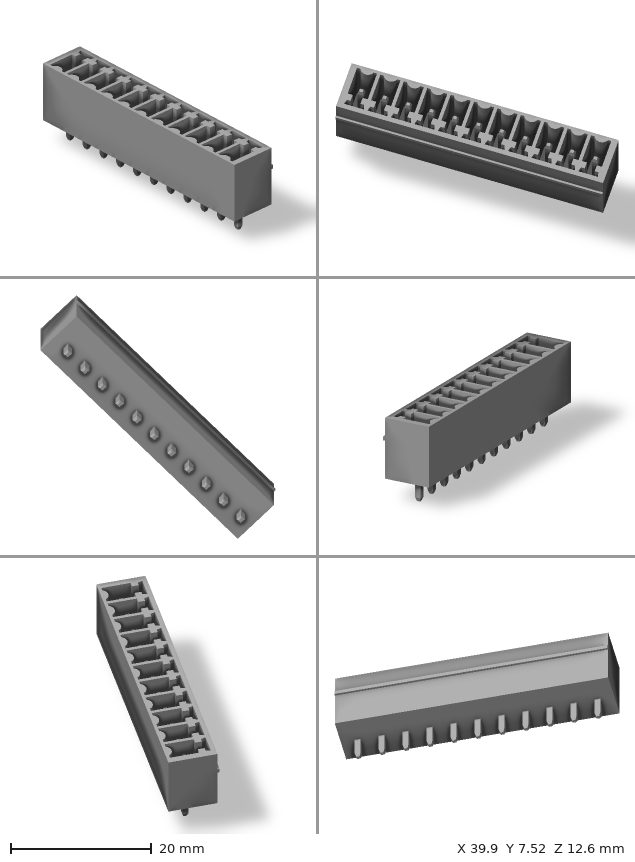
import cadquery as cq

pole_count = 11
body_length = 39.9
body_depth = 7.22
body_height = 9.25

rib_depth = 0.3
rib_height = 0.6
rib_drop = 3.2

floor_thickness = 1.5
cavity_width = 3.0
waist_width = 1.48
flare_width = 2.55
cavity_front = 0.48
waist_front = 4.8
waist_back = 5.8
cavity_back = 6.5
key_radius = 1.1

end_wall = 0.95
end_margin = end_wall + cavity_width / 2
pitch = (body_length - 2 * end_margin) / (pole_count - 1)

pin_width = 0.88
pin_tip_width = 0.48
pin_taper = 0.6
pin_y = 3.05
pin_bottom = -3.35
pin_top = 7.82

pin_positions = [(end_margin + i * pitch, pin_y) for i in range(pole_count)]
cavity_positions = [(x, 0) for x, _ in pin_positions]


def make_body():
    """Plain block with a full-length rib on its back face."""
    block = cq.Workplane("XY").box(body_length, body_depth, body_height, centered=False)
    rib_bottom = body_height - rib_drop - rib_height / 2
    rib = (
        cq.Workplane("XY")
        .box(body_length, rib_depth, rib_height, centered=False)
        .translate((0, body_depth, rib_bottom))
    )
    return block.union(rib)


def make_cavity():
    """Waisted cavity centred on x = 0, with a round key left standing at the front."""
    right_side = [
        (cavity_width / 2, cavity_front),
        (cavity_width / 2, waist_front),
        (waist_width / 2, waist_front),
        (waist_width / 2, waist_back),
        (flare_width / 2, waist_back),
        (cavity_width / 2, cavity_back),
    ]
    left_side = [(-x, y) for x, y in reversed(right_side)]
    cavity_depth = body_height - floor_thickness
    floor = cq.Workplane("XY").workplane(offset=floor_thickness)
    pocket = floor.polyline(right_side + left_side).close().extrude(cavity_depth)
    key = floor.circle(key_radius).extrude(cavity_depth)
    return pocket.cut(key)


def make_pin():
    """Square pin centred on the Z axis, tapered at both ends."""
    shank_bottom = pin_bottom + pin_taper
    shank_top = pin_top - pin_taper
    shank = (
        cq.Workplane("XY")
        .workplane(offset=shank_bottom)
        .rect(pin_width, pin_width)
        .extrude(shank_top - shank_bottom)
    )

    def taper(shank_end, direction):
        return (
            cq.Workplane("XY")
            .workplane(offset=shank_end)
            .rect(pin_width, pin_width)
            .workplane(offset=direction * pin_taper)
            .rect(pin_tip_width, pin_tip_width)
            .loft(ruled=True)
        )

    return shank.union(taper(shank_top, 1)).union(taper(shank_bottom, -1))


def place_copies(shape, positions):
    """One copy of the shape at each (x, y) position."""
    solid = shape.val()
    return cq.Workplane("XY").pushPoints(positions).eachpoint(lambda place: solid.moved(place))


result = (
    make_body()
    .cut(place_copies(make_cavity(), cavity_positions))
    .union(place_copies(make_pin(), pin_positions))
)